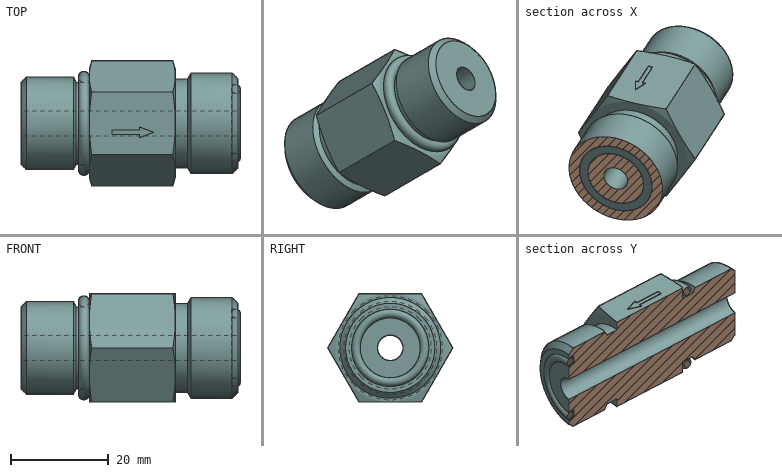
import cadquery as cq
import math

overall_length = 44.9

hex_flats = 22.2
hex_start = 13.95
hex_length = 17.6
hex_end = hex_start + hex_length
hex_corner_diameter = hex_flats / math.cos(math.pi / 6)
hex_chamfer_length = 0.5

left_diameter = 19.05
left_neck_diameter = 16.85
left_chamfer = (left_diameter - left_neck_diameter) / 2
left_shoulder = 10.7
left_shoulder_slope = 0.6

right_diameter = 20.65
right_neck_diameter = 18.25
right_shoulder = 34.1
right_shoulder_slope = 0.67
right_face = 44.4
right_chamfer = (right_diameter - right_neck_diameter) / 2

bore_diameter = 5.15

neck_ring_section = 2.25
neck_ring_mean_radius = (left_neck_diameter + neck_ring_section) / 2
neck_ring_position = hex_start - neck_ring_section / 2

face_ring_section = 1.8
face_groove_diameter = 15.85
face_ring_mean_radius = (face_groove_diameter - face_ring_section) / 2
face_ring_position = overall_length - face_ring_section / 2

arrow_start = 18.6
arrow_tip = 27.1
arrow_head_length = 2.83
arrow_shaft_half_width = 0.45
arrow_head_half_width = 1.08
arrow_center_y = -1.85
arrow_depth = 0.1


def revolve_about_x(profile):
    """Turn a list of (x, radius) points into a solid of revolution around X."""
    return cq.Workplane("XY").polyline(profile).close().revolve(360, (0, 0, 0), (1, 0, 0))


def cylinder_along_x(start, length, diameter):
    return cq.Workplane("YZ", origin=(start, 0, 0)).circle(diameter / 2).extrude(length)


def make_turned_ends():
    """Both threaded ends with their necks, joined through the middle."""
    left_radius = left_diameter / 2
    left_neck = left_neck_diameter / 2
    right_radius = right_diameter / 2
    right_neck = right_neck_diameter / 2
    return revolve_about_x([
        (0, 0),
        (0, left_radius - left_chamfer),
        (left_chamfer, left_radius),
        (left_shoulder, left_radius),
        (left_shoulder + left_shoulder_slope, left_neck),
        (hex_start, left_neck),
        (hex_start, right_neck),
        (right_shoulder, right_neck),
        (right_shoulder + right_shoulder_slope, right_radius),
        (right_face - right_chamfer, right_radius),
        (right_face, right_radius - right_chamfer),
        (right_face, 0),
    ])


def make_hexagon():
    """Hexagon with flats at top and bottom and conical chamfers on its corners."""
    prism = cq.Workplane("YZ", origin=(hex_start, 0, 0)).polygon(6, hex_corner_diameter).extrude(hex_length)
    flat_radius = hex_flats / 2
    corner_radius = hex_corner_diameter / 2
    chamfer_envelope = revolve_about_x([
        (hex_start, 0),
        (hex_start, flat_radius),
        (hex_start + hex_chamfer_length, corner_radius),
        (hex_end - hex_chamfer_length, corner_radius),
        (hex_end, flat_radius),
        (hex_end, 0),
    ])
    return prism.intersect(chamfer_envelope)


def make_arrow():
    """Arrow pointing to +X, as a solid from the top flat down to its engraved floor."""
    head_start = arrow_tip - arrow_head_length
    return (
        cq.Workplane("XY", origin=(0, arrow_center_y, hex_flats / 2 - arrow_depth))
        .polyline([
            (arrow_start, -arrow_shaft_half_width),
            (head_start, -arrow_shaft_half_width),
            (head_start, -arrow_head_half_width),
            (arrow_tip, 0),
            (head_start, arrow_head_half_width),
            (head_start, arrow_shaft_half_width),
            (arrow_start, arrow_shaft_half_width),
        ])
        .close()
        .extrude(arrow_depth)
    )


def make_face_groove():
    """Ring-shaped groove in the right end face, as wide as its O-ring."""
    groove_floor = overall_length - face_ring_section
    groove_depth = right_face - groove_floor
    outer = cylinder_along_x(groove_floor, groove_depth, face_groove_diameter)
    inner = cylinder_along_x(groove_floor, groove_depth, face_groove_diameter - 2 * face_ring_section)
    return outer.cut(inner)


def make_housing():
    bore = cylinder_along_x(0, right_face, bore_diameter)
    body = make_turned_ends().union(make_hexagon())
    return body.cut(bore).cut(make_face_groove()).cut(make_arrow())


def make_o_ring(position, mean_radius, section):
    ring = cq.Solid.makeTorus(mean_radius, section / 2, cq.Vector(position, 0, 0), cq.Vector(1, 0, 0))
    return cq.Workplane(obj=ring)


housing = make_housing()
neck_o_ring = make_o_ring(neck_ring_position, neck_ring_mean_radius, neck_ring_section)
face_o_ring = make_o_ring(face_ring_position, face_ring_mean_radius, face_ring_section)

result = cq.Compound.makeCompound([housing.val(), neck_o_ring.val(), face_o_ring.val()])